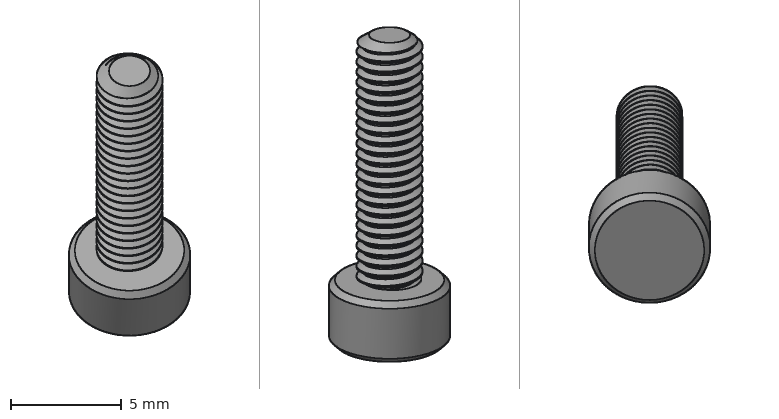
import cadquery as cq
import math

head_diameter = 5.5
head_height = 3.0
head_chamfer = 0.275

overall_length = 15.0
thread_diameter = 3.0
pitch = 0.5
thread_depth = 0.6134 * pitch
crest_width = pitch / 8
flank_half_angle = math.radians(30)
groove_height = 0.11

tip_flat_radius = 0.93
tip_slope = math.radians(35)

buried_turns = 2
envelope_clearance = 0.3

crest_radius = thread_diameter / 2
root_radius = crest_radius - thread_depth
root_width = pitch - crest_width - 2 * thread_depth * math.tan(flank_half_angle)


def make_head():
    """Plain cylindrical head with both rims chamfered."""
    head = cq.Workplane("XY").circle(head_diameter / 2).extrude(head_height)
    return head.faces("<Z or >Z").chamfer(head_chamfer)


def make_turn_profile(start_z):
    """(radius, z) points of one thread turn: root, rising flank, crest, falling flank."""
    crest_start = start_z + (root_width + pitch - crest_width) / 2
    return [
        (root_radius, start_z),
        (root_radius, start_z + root_width),
        (crest_radius, crest_start),
        (crest_radius, crest_start + crest_width),
        (root_radius, start_z + pitch),
    ]


def make_end_cap(start_z, profile):
    """Two faces closing the rod at a turn boundary: a helicoid and a radial step."""
    axis_low = cq.Vector(0, 0, start_z)
    axis_high = cq.Vector(0, 0, start_z + pitch)
    axis = cq.Wire.assembleEdges([cq.Edge.makeLine(axis_low, axis_high)])
    root_helix = cq.Wire.makeHelix(pitch, pitch, root_radius, center=axis_low)
    helicoid = cq.Face.makeRuledSurface(root_helix, axis)
    step_points = [cq.Vector(radius, 0, z) for radius, z in profile]
    step_outline = cq.Wire.makePolygon(step_points + [axis_high, axis_low], close=True)
    return [helicoid, cq.Face.makeFromWires(step_outline)]


def make_threaded_rod():
    """Solid threaded rod reaching from inside the head to beyond the tip."""
    start_z = head_height + groove_height - root_width / 2 - buried_turns * pitch
    turns = math.ceil((overall_length - start_z) / pitch) + 1
    profile = make_turn_profile(start_z)
    helices = [
        cq.Wire.makeHelix(pitch, pitch, radius, center=cq.Vector(0, 0, z))
        for radius, z in profile
    ]
    strips = [cq.Face.makeRuledSurface(low, high) for low, high in zip(helices, helices[1:])]
    faces = []
    for turn in range(turns):
        faces += [strip.translate(cq.Vector(0, 0, turn * pitch)) for strip in strips]
    bottom_cap = make_end_cap(start_z, profile)
    top_cap = [face.translate(cq.Vector(0, 0, turns * pitch)) for face in bottom_cap]
    shell = cq.Shell.makeShell(faces + bottom_cap + top_cap)
    return cq.Workplane(obj=cq.Solid.makeSolid(shell))


def make_tip_envelope():
    """Revolved body, clear of the crests, whose top cone and flat shape the tip."""
    envelope_radius = crest_radius + envelope_clearance
    cone_height = (envelope_radius - tip_flat_radius) * math.tan(tip_slope)
    outline = cq.Workplane("XZ").polyline([
        (0, 0),
        (envelope_radius, 0),
        (envelope_radius, overall_length - cone_height),
        (tip_flat_radius, overall_length),
        (0, overall_length),
    ])
    return outline.close().revolve(360, (0, 0, 0), (0, 1, 0))


shank = make_threaded_rod().intersect(make_tip_envelope(), clean=False)
result = make_head().union(shank, clean=False)